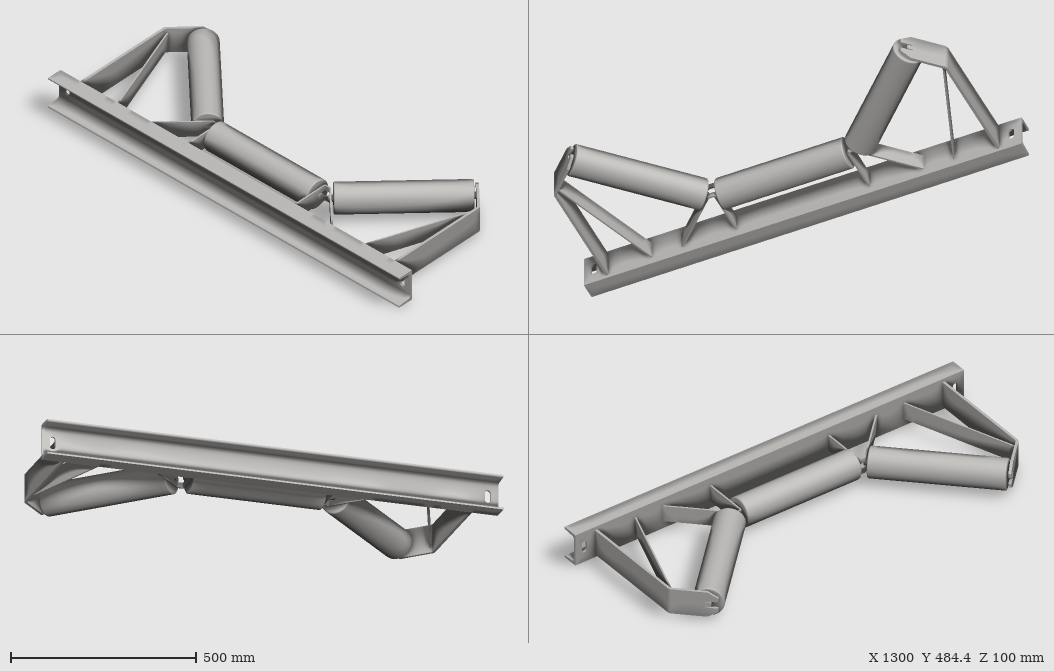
import cadquery as cq
import math


CHANNEL_LENGTH = 1300.0
CHANNEL_HEIGHT = 100.0
CHANNEL_DEPTH = 50.0
WEB_THICKNESS = 6.0
FLANGE_THICKNESS = 8.0
FLANGE_TAPER = 0.08
ROOT_RADIUS = 8.5
TOE_RADIUS = 4.5
MOUNT_SLOT_WIDTH = 16.0
MOUNT_SLOT_LENGTH = 36.0
MOUNT_SLOT_END_DISTANCE = 30.0

TILT = 45.0
ROLLER_DIAMETER = 89.0
ROLLER_LENGTH = 380.0
ROLLER_EDGE_RADIUS = 4.0
ROLLER_GAP = 5.0
INNER_GAP = 6.0
MIDDLE_GAP = 5.0
SHAFT_DIAMETER = 20.0
SHAFT_FLATS = 14.0
SHAFT_OVERHANG = 8.0
MIDDLE_AXIS_Y = 118.0
SIDE_AXIS_FOOT = (-232.5, 135.85)

OUTER_STRIP_THICKNESS = 8.0
OUTER_WIDTH = 80.0
OUTER_X = -585.0
OUTER_TOP_Y = 434.38
OUTER_TIP_CHAMFER = 18.0
OUTER_TIP_LENGTH = 30.0
OUTER_BEND_RADIUS = 8.0
INNER_STRIP_THICKNESS = 5.0
INNER_WIDTH = 50.0
INNER_TOP_Y = 142.0
INNER_BEND_RADIUS = 2.0
BRACE_THICKNESS = 4.5
BRACE_WIDTH = 52.0
BRACE_FOOT_X = -449.0
BRACE_HEAD = (-571.0, 335.0)

OVERRUN = 60.0


def direction(degrees):
    """Unit vector in the XY plane."""
    return cq.Vector(math.cos(math.radians(degrees)), math.sin(math.radians(degrees)))


def slab(points, width):
    """Plate with the given XY outline, centred on Z = 0."""
    return cq.Workplane("XY").polyline(points).close().extrude(width / 2, both=True)


def bent_strip(outside, thickness, width, bend_radius):
    """Strip of constant thickness lying to the right of an open XY path."""
    points = [cq.Vector(*p) for p in outside]
    headings = [(b - a).normalized() for a, b in zip(points, points[1:])]
    normals = [cq.Vector(h.y, -h.x) for h in headings]
    inside = [points[0] + normals[0] * thickness]
    for corner, before, after in zip(points[1:], normals, normals[1:]):
        mitre = before + after
        inside.append(corner + mitre * (thickness / mitre.dot(before)))
    inside.append(points[-1] + normals[-1] * thickness)
    outline = [p.toTuple()[:2] for p in points + inside[::-1]]
    strip = slab(outline, width)

    def edge_at(point):
        return cq.selectors.NearestToPointSelector((point.x, point.y, 0))

    for outer_corner, inner_corner in zip(points[1:-1], inside[1:-1]):
        strip = strip.edges(edge_at(inner_corner)).fillet(bend_radius)
        strip = strip.edges(edge_at(outer_corner)).fillet(bend_radius + thickness)
    return strip


def above_channel(body):
    """Trim a strip flush with the channel back."""
    below = cq.Workplane("XY").box(CHANNEL_LENGTH, 2 * OVERRUN, CHANNEL_HEIGHT)
    return body.cut(below.translate((0, -OVERRUN, 0)))


def mirrored(body):
    return body.mirror("YZ")


side_axis = direction(180 - TILT)
strip_line = direction(TILT)
side_foot = cq.Vector(*SIDE_AXIS_FOOT)
side_centre = side_foot + side_axis * (ROLLER_LENGTH / 2)
bearing_span = ROLLER_LENGTH + 2 * ROLLER_GAP
inner_seat = side_foot - side_axis * INNER_GAP
outer_seat = side_centre + side_axis * (bearing_span / 2)
middle_seat = cq.Vector(-(ROLLER_LENGTH / 2 + MIDDLE_GAP), MIDDLE_AXIS_Y)
shaft_length = bearing_span + 2 * SHAFT_OVERHANG


def make_channel():
    half_height = CHANNEL_HEIGHT / 2
    flange_reach = CHANNEL_DEPTH - WEB_THICKNESS
    taper_rise = FLANGE_TAPER * flange_reach / 2
    root_z = half_height - FLANGE_THICKNESS - taper_rise
    toe_z = half_height - FLANGE_THICKNESS + taper_rise
    profile = [
        (0, -half_height),
        (-CHANNEL_DEPTH, -half_height),
        (-CHANNEL_DEPTH, -toe_z),
        (-WEB_THICKNESS, -root_z),
        (-WEB_THICKNESS, root_z),
        (-CHANNEL_DEPTH, toe_z),
        (-CHANNEL_DEPTH, half_height),
        (0, half_height),
    ]
    channel = cq.Workplane("YZ").polyline(profile).close().extrude(CHANNEL_LENGTH / 2, both=True)
    for side in (-1, 1):
        root = cq.selectors.NearestToPointSelector((0, -WEB_THICKNESS, side * root_z))
        channel = channel.edges(root).fillet(ROOT_RADIUS)
        toe = cq.selectors.NearestToPointSelector((0, -CHANNEL_DEPTH, side * toe_z))
        channel = channel.edges(toe).fillet(TOE_RADIUS)
    slot_x = CHANNEL_LENGTH / 2 - MOUNT_SLOT_END_DISTANCE
    slots = (
        cq.Workplane("XZ")
        .pushPoints([(-slot_x, 0), (slot_x, 0)])
        .slot2D(MOUNT_SLOT_LENGTH, MOUNT_SLOT_WIDTH, 90)
        .extrude(CHANNEL_DEPTH)
    )
    return channel.cut(slots)


def rod(centre, axis, diameter, length):
    """Round bar centred on a point."""
    start = centre - axis * (length / 2)
    plane = cq.Plane(start.toTuple(), (0, 0, 1), axis.toTuple())
    return cq.Workplane(plane).circle(diameter / 2).extrude(length)


def make_roller(centre, axis):
    shell = rod(centre, axis, ROLLER_DIAMETER, ROLLER_LENGTH).edges().fillet(ROLLER_EDGE_RADIUS)
    shaft = rod(centre, axis, SHAFT_DIAMETER, shaft_length)
    between_flats = cq.Workplane("XY").box(CHANNEL_LENGTH, CHANNEL_LENGTH, SHAFT_FLATS)
    return shell.union(shaft.intersect(between_flats))


def strip_face(point, along):
    """Workplane on a strip's face, its x axis running along the strip and its y axis along Z."""
    normal = cq.Vector(along.y, -along.x)
    return cq.Workplane(cq.Plane(point.toTuple(), along.toTuple(), normal.toTuple()))


def shaft_slot(seat, opening):
    """Cutter for a slot with a round bottom at a shaft seat, open towards the strip's upper end."""
    half = SHAFT_DIAMETER / 2
    return (
        strip_face(seat, opening)
        .moveTo(0, half)
        .lineTo(OVERRUN, half)
        .lineTo(OVERRUN, -half)
        .lineTo(0, -half)
        .threePointArc((-half, 0), (0, half))
        .close()
        .extrude(2 * OUTER_STRIP_THICKNESS, both=True)
    )


def tip_corner(tip, side):
    """Cutter for one sloping corner at the upper end of an outer bracket."""
    edge = side * OUTER_WIDTH / 2
    return (
        strip_face(tip, strip_line)
        .moveTo(-OUTER_TIP_LENGTH, edge)
        .lineTo(0, edge)
        .lineTo(0, edge - side * OUTER_TIP_CHAMFER)
        .close()
        .extrude(2 * OUTER_STRIP_THICKNESS, both=True)
    )


def tilted_x(point, y):
    """X at height y on the tilted line through a point."""
    return point.x + (y - point.y) / math.tan(math.radians(TILT))


def tilted_y(point, x):
    """Y at position x on the tilted line through a point."""
    return point.y + (x - point.x) * math.tan(math.radians(TILT))


arm_outside = outer_seat + side_axis * OUTER_STRIP_THICKNESS
outer_path = [
    (OUTER_X, -OVERRUN),
    (OUTER_X, tilted_y(arm_outside, OUTER_X)),
    (tilted_x(arm_outside, OUTER_TOP_Y), OUTER_TOP_Y),
]


def make_outer_bracket():
    bracket = bent_strip(outer_path, OUTER_STRIP_THICKNESS, OUTER_WIDTH, OUTER_BEND_RADIUS)
    bracket = above_channel(bracket)
    for side in (-1, 1):
        bracket = bracket.cut(tip_corner(cq.Vector(*outer_path[-1]), side))
    return bracket.cut(shaft_slot(outer_seat, strip_line))



def make_inner_bracket():
    path = [
        (tilted_x(inner_seat, -OVERRUN), -OVERRUN),
        (tilted_x(inner_seat, INNER_TOP_Y), INNER_TOP_Y),
        (middle_seat.x, INNER_TOP_Y),
        (middle_seat.x, -OVERRUN),
    ]
    bracket = bent_strip(path, INNER_STRIP_THICKNESS, INNER_WIDTH, INNER_BEND_RADIUS)
    bracket = above_channel(bracket)
    bracket = bracket.cut(shaft_slot(inner_seat, strip_line))
    return bracket.cut(shaft_slot(middle_seat, cq.Vector(0, 1)))


def make_brace():
    foot = cq.Vector(BRACE_FOOT_X, 0)
    head = cq.Vector(*BRACE_HEAD)
    run = (head - foot).normalized()
    offset = cq.Vector(run.y, -run.x) * (BRACE_THICKNESS / 2)
    bottom = foot - run * OVERRUN
    top = head + run * OVERRUN
    corners = [bottom + offset, bottom - offset, top - offset, top + offset]
    brace = above_channel(slab([p.toTuple()[:2] for p in corners], BRACE_WIDTH))
    brace = brace.cut(bent_strip(outer_path, OUTER_STRIP_THICKNESS, OUTER_WIDTH, OUTER_BEND_RADIUS))
    return cq.Workplane(brace.solids("<Y").val())


channel = make_channel()
outer_bracket = make_outer_bracket()
inner_bracket = make_inner_bracket()
brace = make_brace()
middle_roller = make_roller(cq.Vector(0, MIDDLE_AXIS_Y), cq.Vector(1, 0))
side_roller = make_roller(side_centre, side_axis)

paired = [side_roller, outer_bracket, inner_bracket, brace]
bodies = [channel, middle_roller]
for body in paired:
    bodies += [body, mirrored(body)]
result = cq.Compound.makeCompound([body.val() for body in bodies])